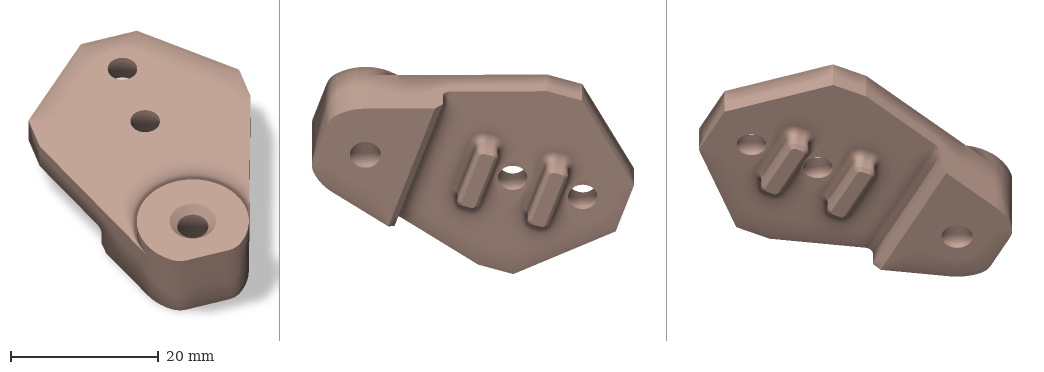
import cadquery as cq
import math

LENGTH = 43.5
WIDTH = 30.0
PLATE_THICKNESS = 4.0
LEFT_EDGE_WIDTH = 8.0
TAPER_START_X = 16.0
CORNER_CUT = (WIDTH - LEFT_EDGE_WIDTH) / 2
PLATE_HOLE_DIAMETER = 4.0
PLATE_HOLE_XS = (6.0, 16.0)

BOSS_X = 37.0
BOSS_RADIUS = 7.6
BOSS_RISE = 2.01
BOSS_CORNER_RADIUS = 3.0
BOSS_HOLE_DIAMETER = 4.23
COUNTERSINK_DIAMETER = 6.3
COUNTERSINK_ANGLE = 90.0

FOOT_DROP = 4.0
FOOT_START_X = BOSS_X - BOSS_RADIUS
FOOT_CHAMFER = 1.0
FOOT_ROOT_RADIUS = 1.0

RIB_XS = (11.0, 21.0)
RIB_WIDTH = 3.0
RIB_LENGTH = 10.0
RIB_DROP = 3.0
RIB_CORNER_RADIUS = 1.0
RIB_CHAMFER = 0.5
RIB_ROOT_RADIUS = 1.0

BOSS_TOP = PLATE_THICKNESS + BOSS_RISE
HALF_WIDTH = WIDTH / 2


def tangent_point():
    """Point where the tapered side, drawn from the plate corner, touches the boss circle."""
    dx = TAPER_START_X - BOSS_X
    dy = HALF_WIDTH
    angle = math.atan2(dy, dx) - math.acos(BOSS_RADIUS / math.hypot(dx, dy))
    return BOSS_X + BOSS_RADIUS * math.cos(angle), BOSS_RADIUS * math.sin(angle)


def end_blend():
    """Blend arc between boss circle and flat end: its start, middle and end on the +Y side."""
    centre_x = LENGTH - BOSS_CORNER_RADIUS
    centre_distance = BOSS_RADIUS - BOSS_CORNER_RADIUS
    centre_y = math.sqrt(centre_distance**2 - (centre_x - BOSS_X) ** 2)
    start_angle = math.atan2(centre_y, centre_x - BOSS_X)
    return [
        (
            centre_x + BOSS_CORNER_RADIUS * math.cos(angle),
            centre_y + BOSS_CORNER_RADIUS * math.sin(angle),
        )
        for angle in (start_angle, start_angle / 2, 0)
    ]


def mirrored(point):
    """The same point on the other side of the centre line."""
    return point[0], -point[1]


def rounded_end(sketch, circle_start):
    """Continue from the -Y side of the boss circle around the flat end to its +Y side."""
    blend_start, blend_middle, blend_end = end_blend()
    return (
        sketch.radiusArc(mirrored(blend_start), -BOSS_RADIUS)
        .threePointArc(mirrored(blend_middle), mirrored(blend_end))
        .lineTo(*blend_end)
        .threePointArc(blend_middle, blend_start)
        .radiusArc(circle_start, -BOSS_RADIUS)
    )


def outline_prism():
    """Plate outline with cut corners, tapered sides and rounded end, down to the foot's underside."""
    touch = tangent_point()
    sketch = (
        cq.Workplane("XY", origin=(0, 0, -FOOT_DROP))
        .moveTo(0, -LEFT_EDGE_WIDTH / 2)
        .lineTo(CORNER_CUT, -HALF_WIDTH)
        .lineTo(TAPER_START_X, -HALF_WIDTH)
        .lineTo(*mirrored(touch))
    )
    return (
        rounded_end(sketch, touch)
        .lineTo(TAPER_START_X, HALF_WIDTH)
        .lineTo(CORNER_CUT, HALF_WIDTH)
        .lineTo(0, LEFT_EDGE_WIDTH / 2)
        .close()
        .extrude(FOOT_DROP + PLATE_THICKNESS)
    )


def space_beside_foot():
    """Side profile removed below the plate, leaving the foot with a filleted root and a chamfer."""
    return (
        cq.Workplane("XZ", origin=(0, HALF_WIDTH, 0))
        .lineTo(FOOT_START_X - FOOT_ROOT_RADIUS, 0)
        .radiusArc((FOOT_START_X, -FOOT_ROOT_RADIUS), FOOT_ROOT_RADIUS)
        .lineTo(FOOT_START_X, FOOT_CHAMFER - FOOT_DROP)
        .lineTo(FOOT_START_X + FOOT_CHAMFER, -FOOT_DROP)
        .lineTo(0, -FOOT_DROP)
        .close()
        .extrude(WIDTH)
    )


def raised_boss():
    """Flattened disc standing on the plate."""
    touch = tangent_point()
    sketch = cq.Workplane("XY", origin=(0, 0, PLATE_THICKNESS)).moveTo(*mirrored(touch))
    return (
        rounded_end(sketch, touch)
        .threePointArc((BOSS_X - BOSS_RADIUS, 0), mirrored(touch))
        .close()
        .extrude(BOSS_RISE)
    )


def add_ribs(body):
    """Rounded ribs with chamfered tips, blended into the underside of the plate."""
    for x in RIB_XS:
        rib = (
            cq.Workplane("XY", origin=(x, 0, -RIB_DROP))
            .rect(RIB_WIDTH, RIB_LENGTH)
            .extrude(RIB_DROP)
            .edges("|Z")
            .fillet(RIB_CORNER_RADIUS)
            .faces("<Z")
            .chamfer(RIB_CHAMFER)
        )
        body = body.union(rib)
        reach_x = RIB_WIDTH / 2 + RIB_ROOT_RADIUS / 2
        reach_y = RIB_LENGTH / 2 + RIB_ROOT_RADIUS / 2
        reach_z = RIB_ROOT_RADIUS / 2
        at_root = cq.selectors.BoxSelector(
            (x - reach_x, -reach_y, -reach_z), (x + reach_x, reach_y, reach_z)
        )
        body = body.edges(at_root).fillet(RIB_ROOT_RADIUS)
    return body


def cut_holes(body):
    """Plain plate holes and the countersunk hole through the boss."""
    plate_holes = (
        cq.Workplane("XY")
        .pushPoints([(x, 0) for x in PLATE_HOLE_XS])
        .circle(PLATE_HOLE_DIAMETER / 2)
        .extrude(PLATE_THICKNESS)
    )
    return (
        body.cut(plate_holes)
        .copyWorkplane(cq.Workplane("XY", origin=(BOSS_X, 0, BOSS_TOP)))
        .cskHole(BOSS_HOLE_DIAMETER, COUNTERSINK_DIAMETER, COUNTERSINK_ANGLE)
    )


plate_and_foot = outline_prism().cut(space_beside_foot())
result = cut_holes(add_ribs(plate_and_foot).union(raised_boss()))